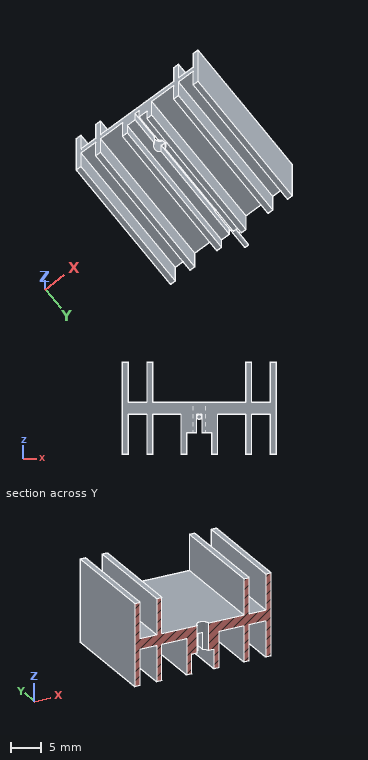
import cadquery as cq

width = 25.0
length = 25.0
height = 15.0
plate_thickness = 2.0
fin_thickness = 1.0
fin_pitch = 4.0
plate_bottom = (height - plate_thickness) / 2

channel_width = 6.0
leg_thickness = 1.0
shoulder_drop = 3.0

hole_diameter = 2.0
hole_from_front = 6.0

pin_diameter = 0.8
pin_overhang = 4.0
pin_embedded = pin_overhang
slot_width = pin_diameter


def block(x_center, block_width, z_bottom, z_top):
    """Full-length bar with its front face at Y = 0."""
    return cq.Workplane("XY").box(
        block_width, length, z_top - z_bottom, centered=(True, False, False)
    ).translate((x_center, 0, z_bottom))


def make_heat_sink():
    body = block(0, width, plate_bottom, plate_bottom + plate_thickness)

    outer_fin_x = (width - fin_thickness) / 2
    inner_fin_x = outer_fin_x - fin_pitch
    for fin_x in (-outer_fin_x, -inner_fin_x, inner_fin_x, outer_fin_x):
        body = body.union(block(fin_x, fin_thickness, 0, height))

    shoulder_z = plate_bottom - shoulder_drop
    body = body.union(block(0, channel_width, 0, plate_bottom))
    body = body.cut(block(0, channel_width - 2 * leg_thickness, 0, shoulder_z))
    body = body.cut(block(0, slot_width, shoulder_z, plate_bottom))

    screw_hole = (
        cq.Workplane("XY")
        .center(0, hole_from_front)
        .circle(hole_diameter / 2)
        .extrude(height)
    )
    return body.cut(screw_hole)


def make_pin():
    """Round pin along Y, resting against the top of the slot."""
    pin_z = plate_bottom - pin_diameter / 2
    return (
        cq.Workplane("XZ", origin=(0, length + pin_overhang, pin_z))
        .circle(pin_diameter / 2)
        .extrude(pin_embedded + pin_overhang)
    )


heat_sink = make_heat_sink()
pin = make_pin()

result = cq.Compound.makeCompound([heat_sink.val(), pin.val()])